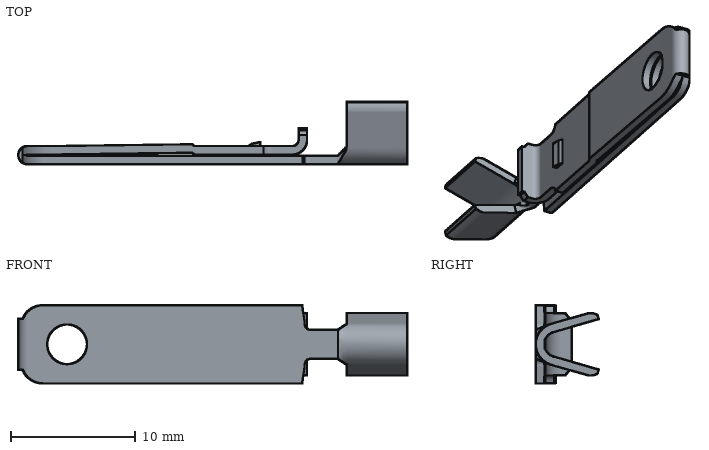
import cadquery as cq
import math


SHEET = 0.70
FOLD_GAP = 0.08
FOLD_DIAMETER = 2 * SHEET + FOLD_GAP
FOLD_RADIUS = FOLD_DIAMETER / 2
FOLD_HALF_WIDTH = 2.06

TOTAL_LENGTH = 31.34
BLADE_HALF_WIDTH = 6.32 / 2
BLADE_CORNER_RADIUS = 1.79
BLADE_CORNER_END = 2.0
BLADE_END = 22.88
SHOULDER_X = 23.07
SHOULDER_HALF_WIDTH = 1.75
SHOULDER_ARC_MID = (23.19, 1.35)
NECK_HALF_WIDTH = 1.18
NECK_START = 23.50
NECK_END = 25.74
HOLE_X = 3.94
HOLE_DIAMETER = 3.18

LEAF_END_HALF_WIDTH = 3.10
LEAF_CORNER_RADIUS = 2.79
LEAF_CORNER_END = 2.57
LEAF_RISE = 0.15
RISE_PEAK_X = 14.0
RISE_END_X = 14.2
TAPER_START = 19.74
TAPER_END = 20.5

TAB_HALF_WIDTH = 2.51
TAB_END_X = 23.28
TAB_TOP_Y = 2.92
TAB_BEND_RADIUS = 0.5
TAB_TIP_HALF_WIDTH = 2.10
TAB_CHAMFER_START_Y = 2.38
TAB_CHAMFER_END_Y = 2.72

BARB_HALF_WIDTH = 1.1
BARB_START = 18.56
BARB_KNEE_X = 18.85
BARB_KNEE_HEIGHT = 0.19
BARB_END = 19.5
BARB_HEIGHT = 0.33

BARREL_START = 26.46
BARREL_RADIUS = 1.72
BARREL_INNER_RADIUS = BARREL_RADIUS - SHEET
WING_ANGLE = math.radians(16)
WING_ROUND_START_Y = 4.25
WING_ROUND_MID = (4.65, 2.495)
WING_TIP_Y = 5.08
WING_TIP_OUTER = (4.98, 2.37)


def extrude_y(sketch, y_start, y_end):
    """Extrude an XZ sketch (drawn on a plane facing -Y) from y_start to y_end."""
    return sketch.extrude(-(y_end - y_start)).translate((0, y_start, 0))


def rounded_start(half_width, radius, corner_end):
    """Begin an XZ outline at its lower edge and round both corners of the left end."""
    corner_z = half_width - radius
    corner_x = corner_end - radius
    diagonal = radius * math.sqrt(0.5)
    return (
        cq.Workplane("XZ")
        .moveTo(corner_end, -half_width)
        .threePointArc((corner_end - diagonal, -corner_z - diagonal), (corner_x, -corner_z))
        .lineTo(corner_x, corner_z)
        .threePointArc((corner_end - diagonal, corner_z + diagonal), (corner_end, half_width))
    )


def blade_outline():
    arc_x, arc_z = SHOULDER_ARC_MID
    return (
        rounded_start(BLADE_HALF_WIDTH, BLADE_CORNER_RADIUS, BLADE_CORNER_END)
        .lineTo(BLADE_END, BLADE_HALF_WIDTH)
        .lineTo(SHOULDER_X, SHOULDER_HALF_WIDTH)
        .threePointArc((arc_x, arc_z), (NECK_START, NECK_HALF_WIDTH))
        .lineTo(NECK_END, NECK_HALF_WIDTH)
        .lineTo(NECK_END, -NECK_HALF_WIDTH)
        .lineTo(NECK_START, -NECK_HALF_WIDTH)
        .threePointArc((arc_x, -arc_z), (SHOULDER_X, -SHOULDER_HALF_WIDTH))
        .lineTo(BLADE_END, -BLADE_HALF_WIDTH)
        .close()
    )


def leaf_outline():
    taper_depth = LEAF_END_HALF_WIDTH - TAB_HALF_WIDTH
    taper_length = TAPER_END - TAPER_START
    taper_radius = (taper_length**2 + taper_depth**2) / (2 * taper_depth)
    arc_x = TAPER_END - taper_length / 2
    arc_z = TAB_HALF_WIDTH + taper_radius - math.sqrt(taper_radius**2 - (taper_length / 2) ** 2)
    return (
        rounded_start(BLADE_HALF_WIDTH, LEAF_CORNER_RADIUS, LEAF_CORNER_END)
        .lineTo(TAPER_START, LEAF_END_HALF_WIDTH)
        .threePointArc((arc_x, arc_z), (TAPER_END, TAB_HALF_WIDTH))
        .lineTo(TAB_END_X, TAB_HALF_WIDTH)
        .lineTo(TAB_END_X, -TAB_HALF_WIDTH)
        .lineTo(TAPER_END, -TAB_HALF_WIDTH)
        .threePointArc((arc_x, -arc_z), (TAPER_START, -LEAF_END_HALF_WIDTH))
        .close()
    )


def folded_strip():
    """Side profile of the whole folded strip, full blade width."""
    leaf_inner_y = SHEET + FOLD_GAP
    outer_bend = TAB_BEND_RADIUS + SHEET
    bend_x = TAB_END_X - outer_bend
    bend_y = leaf_inner_y + outer_bend
    diagonal = math.sqrt(0.5)
    return (
        cq.Workplane("XY")
        .moveTo(FOLD_RADIUS, 0)
        .lineTo(NECK_END, 0)
        .lineTo(NECK_END, SHEET)
        .lineTo(FOLD_RADIUS, SHEET)
        .threePointArc((FOLD_RADIUS - FOLD_GAP / 2, FOLD_RADIUS), (FOLD_RADIUS, leaf_inner_y))
        .lineTo(LEAF_CORNER_END, leaf_inner_y)
        .lineTo(RISE_PEAK_X, leaf_inner_y + LEAF_RISE)
        .lineTo(RISE_END_X, leaf_inner_y)
        .lineTo(bend_x, leaf_inner_y)
        .threePointArc((bend_x + outer_bend * diagonal, bend_y - outer_bend * diagonal), (TAB_END_X, bend_y))
        .lineTo(TAB_END_X, TAB_TOP_Y)
        .lineTo(TAB_END_X - SHEET, TAB_TOP_Y)
        .lineTo(TAB_END_X - SHEET, bend_y)
        .threePointArc(
            (bend_x + TAB_BEND_RADIUS * diagonal, bend_y - TAB_BEND_RADIUS * diagonal),
            (bend_x, FOLD_DIAMETER),
        )
        .lineTo(RISE_END_X, FOLD_DIAMETER)
        .lineTo(RISE_PEAK_X, FOLD_DIAMETER + LEAF_RISE)
        .lineTo(LEAF_CORNER_END, FOLD_DIAMETER)
        .lineTo(FOLD_RADIUS, FOLD_DIAMETER)
        .threePointArc((0, FOLD_RADIUS), (FOLD_RADIUS, 0))
        .close()
        .extrude(BLADE_HALF_WIDTH, both=True)
    )


def folded_blade():
    """Blade, fold and leaf: the strip trimmed to the outline of each layer."""
    front = extrude_y(blade_outline(), 0, FOLD_RADIUS)
    back = extrude_y(leaf_outline(), FOLD_RADIUS, TAB_TOP_Y)
    fold_area = cq.Workplane("XZ").rect(2 * FOLD_DIAMETER, 2 * FOLD_HALF_WIDTH)
    fold = extrude_y(fold_area, 0, FOLD_DIAMETER)
    return folded_strip().intersect(front.union(back).union(fold))


def mounting_hole():
    circle = cq.Workplane("XZ").center(HOLE_X, 0).circle(HOLE_DIAMETER / 2)
    return extrude_y(circle, 0, TAB_TOP_Y)


def tab_corner(side):
    """Corner removed from the tab tip; side is +1 or -1 along Z."""
    return (
        cq.Workplane("YZ")
        .moveTo(TAB_CHAMFER_START_Y, side * TAB_HALF_WIDTH)
        .lineTo(TAB_CHAMFER_END_Y, side * TAB_TIP_HALF_WIDTH)
        .lineTo(TAB_TOP_Y, side * TAB_TIP_HALF_WIDTH)
        .lineTo(TAB_TOP_Y, side * TAB_HALF_WIDTH)
        .close()
        .extrude(TAB_END_X)
    )


def barb():
    base_y = FOLD_DIAMETER - SHEET / 2
    return (
        cq.Workplane("XY")
        .moveTo(BARB_START, base_y)
        .lineTo(BARB_START, FOLD_DIAMETER)
        .lineTo(BARB_KNEE_X, FOLD_DIAMETER + BARB_KNEE_HEIGHT)
        .lineTo(BARB_END, FOLD_DIAMETER + BARB_HEIGHT)
        .lineTo(BARB_END, base_y)
        .close()
        .extrude(BARB_HALF_WIDTH, both=True)
    )


def barrel_point(radius, side):
    """(y, z) where the barrel arc of this radius runs tangent into a wing."""
    return BARREL_RADIUS - radius * math.sin(WING_ANGLE), side * radius * math.cos(WING_ANGLE)


def wing_z(radius, y):
    """Distance from the mid-plane of the wing face tangent to this radius."""
    tangent_y, tangent_z = barrel_point(radius, 1)
    return tangent_z + (y - tangent_y) * math.tan(WING_ANGLE)


def barrel():
    """Open U with flared wings that have rounded outer tips."""
    round_start_z = wing_z(BARREL_RADIUS, WING_ROUND_START_Y)
    tip_inner_z = wing_z(BARREL_INNER_RADIUS, WING_TIP_Y)
    mid_y, mid_z = WING_ROUND_MID
    tip_outer_y, tip_outer_z = WING_TIP_OUTER
    return (
        cq.Workplane("YZ", origin=(BARREL_START, 0, 0))
        .moveTo(*barrel_point(BARREL_RADIUS, -1))
        .threePointArc((0, 0), barrel_point(BARREL_RADIUS, 1))
        .lineTo(WING_ROUND_START_Y, round_start_z)
        .threePointArc((mid_y, mid_z), (tip_outer_y, tip_outer_z))
        .lineTo(WING_TIP_Y, tip_inner_z)
        .lineTo(*barrel_point(BARREL_INNER_RADIUS, 1))
        .threePointArc((SHEET, 0), barrel_point(BARREL_INNER_RADIUS, -1))
        .lineTo(WING_TIP_Y, -tip_inner_z)
        .lineTo(tip_outer_y, -tip_outer_z)
        .threePointArc((mid_y, -mid_z), (WING_ROUND_START_Y, -round_start_z))
        .close()
        .extrude(TOTAL_LENGTH - BARREL_START)
    )


def neck_transition():
    """Blend from the flat neck section to the curved floor of the barrel."""
    return (
        cq.Workplane("YZ", origin=(NECK_END, 0, 0))
        .moveTo(0, -NECK_HALF_WIDTH)
        .lineTo(0, NECK_HALF_WIDTH)
        .lineTo(SHEET, NECK_HALF_WIDTH)
        .lineTo(SHEET, -NECK_HALF_WIDTH)
        .close()
        .workplane(offset=BARREL_START - NECK_END)
        .moveTo(*barrel_point(BARREL_RADIUS, -1))
        .threePointArc((0, 0), barrel_point(BARREL_RADIUS, 1))
        .lineTo(*barrel_point(BARREL_INNER_RADIUS, 1))
        .threePointArc((SHEET, 0), barrel_point(BARREL_INNER_RADIUS, -1))
        .close()
        .loft(ruled=True, combine=True)
    )


result = folded_blade().union(barb()).cut(mounting_hole())
for corner_side in (1, -1):
    result = result.cut(tab_corner(corner_side))
result = result.union(neck_transition()).union(barrel())